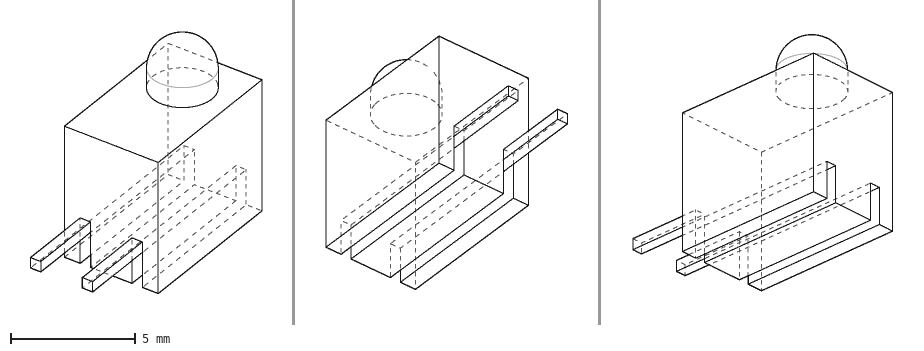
import cadquery as cq

body_width = 4.6
body_depth = 7.3
body_height = 6.34

lens_radius = 1.45
lens_cylinder_height = 0.96
lens_offset_from_back = body_width / 2

overall_depth = 10.8
lead_size = 0.51
lead_spacing = 2.54
lead_bottom = 1.7

front_y = -body_depth
lead_tip_y = -overall_depth
lead_positions = (-lead_spacing / 2, lead_spacing / 2)


def block(x_center, y_min, y_max, z_min, z_max, width):
    """Rectangular block centred on x_center."""
    return (
        cq.Workplane("XY")
        .box(width, y_max - y_min, z_max - z_min, centered=(True, False, False))
        .translate((x_center, y_min, z_min))
    )


def make_lens():
    """Revolve the half profile of the lens about its vertical axis."""
    diagonal = lens_radius * 0.5**0.5
    dome_top = lens_cylinder_height + lens_radius
    return (
        cq.Workplane("XZ")
        .lineTo(lens_radius, 0)
        .lineTo(lens_radius, lens_cylinder_height)
        .threePointArc((diagonal, lens_cylinder_height + diagonal), (0, dome_top))
        .close()
        .revolve(360, (0, 0, 0), (0, 1, 0))
        .translate((0, -lens_offset_from_back, body_height))
    )


result = block(0, front_y, 0, 0, body_height, body_width).union(make_lens())

for x in lead_positions:
    slot = block(x, front_y, 0, 0, lead_bottom, lead_size)
    lead = block(x, lead_tip_y, front_y, lead_bottom, lead_bottom + lead_size, lead_size)
    result = result.cut(slot).union(lead)